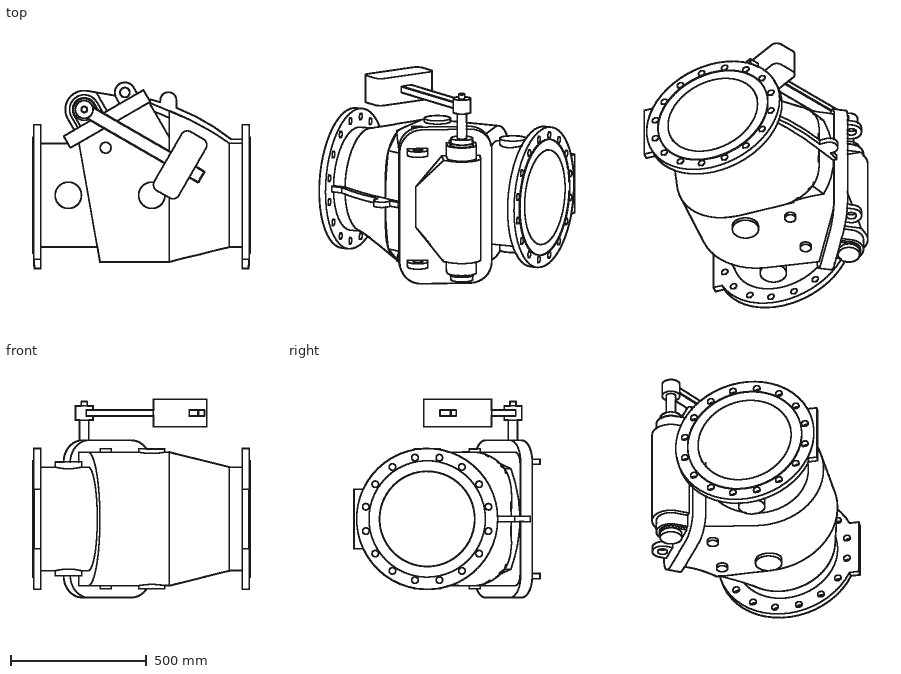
import cadquery as cq
import math

LENGTH = 800.0
BORE_D = 350.0
PIPE_R = 382.0 / 2

FLANGE_D = 520.0
RAISED_FACE_D = 429.0
RAISED_FACE_T = 3.0
FLANGE_BACK = 29.0
BOLT_COUNT = 16
BOLT_CIRCLE_D = 460.0
BOLT_HOLE_D = 24.0
FOOT_BOTTOM = -270.0
FOOT_FRONT = 5.0
FOOT_HALF_WIDTH = 110.0

BODY_R = 246.0
BODY_END_X = 503.0
REDUCER_END_X = 724.0
REDUCER_END_R = PIPE_R + 0.5
FACE_TILT = 10.0
FACE_AXIS_X = 203.5
BODY_TOP = 420.0

SHAFT_X = 189.0
SHAFT_Y = 316.0
COVER_TILT = 30.0

COVER_LENGTH = 340.0
COVER_HEIGHT = 580.0
COVER_CORNER_R = 80.0
COVER_U = 55.0
COVER_FACE_V = -47.0
PLATE_T = 25.0
NECK_TOP_V = COVER_FACE_V - 2 * PLATE_T

NECK_RIGHT_U = 220.0
NECK_LEFT_U = -200.0
NECK_CORNER_R = 38.0
NECK_BLEND_V = -155.0
NECK_BLEND_END_V = -253.0
NECK_BLEND = ((0.0, 1.0), (0.5, 25.0), (1.0, NECK_CORNER_R))
NECK_BOTTOM_V = -480.0

ROOF_START_X = 420.0
ROOF_START_TOP = 345.0
ROOF_TOP = 310.0
ROOF_EDGE_DROP = 25.0
ROOF_EDGE_Z = 185.0
ROOF_SIDE_TOP = 202.0
ROOF_BULGE = 9.0
ROOF_SHOULDER = [(110.0, 246.0), (205.0, 241.0), (285.0, 185.0)]

RIB_T = 20.0
RIB_START = (430.0, 354.0)
RIB_MID = (600.0, 290.5)
RIB_END = (730.0, 207.0)
LUG_X = 499.0
LUG_R = 30.0
LUG_TOP = 380.0

HOUSING_STEPS = ((70.0, 191.0), (54.0, 240.5), (43.0, 249.0))
HOUSING_SLOPE = 11.0
HOUSING_END_U = 166.0
HOUSING_BEVEL = 50.0
GLAND_D = 80.0
GLAND_HALF_HEIGHT = 266.5

EYE_R = 37.5
EYE_HOLE_D = 35.0
EYE_U = 161.0
EYE_V = -20.6
EYE_T = 20.0
EYE_Z = 210.5

PAD_D = 97.0
PAD_PLACES = ((130.5, 0.0, 210.0), (438.0, 0.0, 258.0))
BOSS_D = 40.0
BOSS_PLACES = ((268.0, 175.0, 258.0), (438.0, 175.0, 258.0))

SHAFT_D = 35.0
HUB_D = 65.0
PIN_D = 23.0
PIN_TOP = 433.0
PIN_CHAMFER = 1.5
LEVER_Z = 390.0
HUB_HEIGHT = 52.0
ARM_ANGLE = -30.0
ARM_LENGTH = 499.0
ARM_WIDTH = 48.0
ARM_T = 25.0
ARM_CHAMFER = 2.0
WEIGHT_CENTRE = 408.0
WEIGHT_WIDTH = 104.0
WEIGHT_LENGTH = 250.0
WEIGHT_HEIGHT = 102.0
WEIGHT_CORNER_R = 25.0


def shaft_frame(angle, z=0.0):
    """Workplane on the shaft axis, parallel to XY and turned about Z."""
    turn = math.radians(angle)
    direction = (math.cos(turn), math.sin(turn), 0)
    return cq.Workplane(cq.Plane((SHAFT_X, SHAFT_Y, z), direction, (0, 0, 1)))


def cover_frame(v):
    """Workplane parallel to the cover at height v: local x along the cover, local y along -Z."""
    turn = math.radians(COVER_TILT)
    along = (math.cos(turn), math.sin(turn), 0)
    outward = (-math.sin(turn), math.cos(turn), 0)
    origin = (SHAFT_X + v * outward[0], SHAFT_Y + v * outward[1], 0)
    return cq.Workplane(cq.Plane(origin, along, outward))


def x_cylinder(radius, start, end):
    return cq.Workplane("YZ", origin=(start, 0, 0)).circle(radius).extrude(end - start)


def z_cylinder(x, y, diameter, bottom, top):
    return cq.Workplane("XY", origin=(x, y, bottom)).circle(diameter / 2).extrude(top - bottom)


def make_flange():
    """Inlet flange with its raised face, bolt holes and foot."""
    flange = x_cylinder(FLANGE_D / 2, RAISED_FACE_T, FLANGE_BACK)
    flange = flange.union(x_cylinder(RAISED_FACE_D / 2, 0, FLANGE_BACK))
    foot = cq.Workplane("XY").box(
        FLANGE_BACK - FOOT_FRONT, -FOOT_BOTTOM - BORE_D / 2, 2 * FOOT_HALF_WIDTH, centered=(False, False, True)
    )
    flange = flange.union(foot.translate((FOOT_FRONT, FOOT_BOTTOM, 0)))
    holes = (
        cq.Workplane("YZ")
        .polarArray(BOLT_CIRCLE_D / 2, 180 / BOLT_COUNT, 360, BOLT_COUNT)
        .circle(BOLT_HOLE_D / 2)
        .extrude(FLANGE_BACK)
    )
    return flange.cut(holes)


def make_neck():
    """Block under the cover whose rounded right-hand edges fade out towards the body."""
    width = NECK_RIGHT_U - NECK_LEFT_U
    middle = (NECK_RIGHT_U + NECK_LEFT_U) / 2

    def section(corner_r):
        outline = cq.Sketch().rect(width, 2 * BODY_R).vertices().fillet(corner_r)
        return outline.moved(cq.Location((middle, 0, 0)))

    blend_depth = NECK_BLEND_V - NECK_BLEND_END_V
    upper = cover_frame(NECK_BLEND_V).placeSketch(section(NECK_CORNER_R)).extrude(NECK_TOP_V - NECK_BLEND_V)
    blend_sections = [
        section(radius).moved(cq.Location((0, 0, fraction * blend_depth))) for fraction, radius in NECK_BLEND
    ]
    blend = cover_frame(NECK_BLEND_END_V).placeSketch(*blend_sections).loft()
    lower = (
        cover_frame(NECK_BOTTOM_V)
        .center(middle, 0)
        .rect(width, 2 * BODY_R)
        .extrude(NECK_BLEND_END_V - NECK_BOTTOM_V)
    )
    return upper.union(blend).union(lower)


def make_chamber():
    """Round body below the axis, flat-sided neck above it, closed by the tilted inlet face."""
    lean = math.tan(math.radians(FACE_TILT))
    outline = (
        cq.Workplane("XY", origin=(0, 0, -BODY_R))
        .polyline(
            [
                (FACE_AXIS_X + BODY_R * lean, -BODY_R),
                (BODY_END_X, -BODY_R),
                (BODY_END_X, BODY_TOP),
                (FACE_AXIS_X - BODY_TOP * lean, BODY_TOP),
            ]
        )
        .close()
        .extrude(2 * BODY_R)
    )
    above_axis = cq.Workplane("XY").box(LENGTH, BODY_TOP, 2 * BODY_R, centered=(False, False, True))
    return outline.intersect(x_cylinder(BODY_R, 0, BODY_END_X).union(make_neck().intersect(above_axis)))


def straight_roof_section(x, top):
    """Closed half-section at x: flat sides, sloping shoulders and an arched top."""
    edge_y = top - ROOF_EDGE_DROP
    return (
        cq.Workplane("YZ", origin=(x, 0, 0))
        .moveTo(0, -BODY_R)
        .lineTo(ROOF_SIDE_TOP, -BODY_R)
        .lineTo(edge_y, -ROOF_EDGE_Z)
        .threePointArc((top, 0), (edge_y, ROOF_EDGE_Z))
        .lineTo(ROOF_SIDE_TOP, BODY_R)
        .lineTo(0, BODY_R)
        .close()
        .wires()
        .val()
    )


def make_roof():
    """Straight roof under the cover, above the rounded edges of the neck."""
    neck_end = straight_roof_section(ROOF_START_X, ROOF_START_TOP)
    body_end = straight_roof_section(BODY_END_X, ROOF_TOP)
    return cq.Workplane(cq.Solid.makeLoft([neck_end, body_end], True))


def smooth_section(x, points):
    """Closed smooth section at x through (height, half width) points and their mirror."""
    bottom, *side, top = points
    loop = [bottom] + side + [top] + [(y, -z) for y, z in reversed(side)]
    return cq.Workplane("YZ", origin=(x, 0, 0)).spline(loop, periodic=True).wire().val()


def circle_points(radius, first_angle, last_angle, count):
    """Points (height, half width) on a circle, angles in degrees above the horizontal."""
    step = (last_angle - first_angle) / (count - 1)
    angles = [math.radians(first_angle + i * step) for i in range(count)]
    return [(radius * math.sin(a), radius * math.cos(a)) for a in angles]


def make_reducer():
    """Narrowing part from the body, round below and boxy above, to the round outlet pipe."""
    upper_large = ROOF_SHOULDER + [(ROOF_TOP, 0)]
    upper_count = len(upper_large) + 1
    large = circle_points(BODY_R, -90, 0, upper_count) + upper_large
    small = circle_points(REDUCER_END_R, -90, 90, len(large))
    halfway = []
    for big, little in zip(large, small):
        bulge = ROOF_BULGE * max(little[0] / REDUCER_END_R, 0) ** 2
        halfway.append(((big[0] + little[0]) / 2 + bulge, (big[1] + little[1]) / 2))
    sections = [
        smooth_section(BODY_END_X, large),
        smooth_section((BODY_END_X + REDUCER_END_X) / 2, halfway),
        smooth_section(REDUCER_END_X, small),
    ]
    return cq.Workplane(cq.Solid.makeLoft(sections))


def make_rib():
    """Curved rib along the roof with the round-topped lifting lug."""
    rib = (
        cq.Workplane("XY", origin=(0, 0, -RIB_T / 2))
        .moveTo(RIB_START[0], 0)
        .lineTo(*RIB_START)
        .threePointArc(RIB_MID, RIB_END)
        .lineTo(LENGTH - FLANGE_BACK, RIB_END[1])
        .lineTo(LENGTH - FLANGE_BACK, 0)
        .close()
        .extrude(RIB_T)
    )
    lug_centre_y = LUG_TOP - LUG_R
    lug = (
        cq.Workplane("XY", origin=(0, 0, -RIB_T / 2))
        .moveTo(LUG_X - LUG_R, 0)
        .lineTo(LUG_X - LUG_R, lug_centre_y)
        .threePointArc((LUG_X, LUG_TOP), (LUG_X + LUG_R, lug_centre_y))
        .lineTo(LUG_X + LUG_R, 0)
        .close()
        .extrude(RIB_T)
    )
    return rib.union(lug)


def make_cover_plates():
    """Body flange and cover plate lying on each other."""
    section = cq.Sketch().rect(COVER_LENGTH, COVER_HEIGHT).vertices().fillet(COVER_CORNER_R)
    section = section.moved(cq.Location((COVER_U, 0, 0)))
    flange = cover_frame(NECK_TOP_V).placeSketch(section).extrude(PLATE_T)
    cover = cover_frame(NECK_TOP_V + PLATE_T).placeSketch(section).extrude(PLATE_T)
    return flange.union(cover, clean=False)


def make_shoulder():
    """Part of the housing that slopes down along the cover, bevelled at both ends."""
    radius, half_height = HOUSING_STEPS[0]
    tangent = math.radians(90 - COVER_TILT - HOUSING_SLOPE)
    outline = (
        shaft_frame(COVER_TILT, -half_height)
        .moveTo(0, COVER_FACE_V)
        .lineTo(0, 0)
        .lineTo(radius * math.cos(tangent), radius * math.sin(tangent))
        .lineTo(HOUSING_END_U, COVER_FACE_V)
        .close()
        .extrude(2 * half_height)
    )
    end_half_height = half_height - (HOUSING_END_U - radius) * math.tan(math.radians(HOUSING_BEVEL))
    bevel = (
        cover_frame(COVER_FACE_V)
        .polyline(
            [
                (0, -half_height),
                (radius, -half_height),
                (HOUSING_END_U, -end_half_height),
                (HOUSING_END_U, end_half_height),
                (radius, half_height),
                (0, half_height),
            ]
        )
        .close()
        .extrude(2 * radius - COVER_FACE_V)
    )
    return outline.intersect(bevel)


def make_housing():
    """Stepped round-backed housing of the shaft, with a bevelled shoulder along the cover."""
    housing = cq.Workplane("XY")
    for radius, half_height in HOUSING_STEPS:
        step = (
            shaft_frame(COVER_TILT, -half_height)
            .moveTo(-radius, COVER_FACE_V)
            .lineTo(-radius, 0)
            .threePointArc((0, radius), (radius, 0))
            .lineTo(radius, COVER_FACE_V)
            .close()
            .extrude(2 * half_height)
        )
        housing = housing.union(step)
    return housing.union(make_shoulder())


def make_eye(z):
    """Lifting eye standing on the cover."""
    eye = (
        shaft_frame(COVER_TILT, z - EYE_T / 2)
        .moveTo(EYE_U - EYE_R, COVER_FACE_V)
        .lineTo(EYE_U - EYE_R, EYE_V)
        .threePointArc((EYE_U, EYE_V + EYE_R), (EYE_U + EYE_R, EYE_V))
        .lineTo(EYE_U + EYE_R, COVER_FACE_V)
        .close()
        .extrude(EYE_T)
    )
    hole = shaft_frame(COVER_TILT, z - EYE_T / 2).center(EYE_U, EYE_V).circle(EYE_HOLE_D / 2).extrude(EYE_T)
    return eye.cut(hole)


def make_lever():
    """Shaft end with hub, arm and counterweight."""
    hub_bottom = LEVER_Z - HUB_HEIGHT / 2
    hub_top = LEVER_Z + HUB_HEIGHT / 2
    shaft = z_cylinder(SHAFT_X, SHAFT_Y, SHAFT_D, 0, hub_top)
    hub = z_cylinder(SHAFT_X, SHAFT_Y, HUB_D, hub_bottom, hub_top)
    pin = z_cylinder(SHAFT_X, SHAFT_Y, PIN_D, hub_bottom, PIN_TOP).faces(">Z").chamfer(PIN_CHAMFER)
    arm = (
        shaft_frame(ARM_ANGLE, LEVER_Z)
        .box(ARM_LENGTH, ARM_WIDTH, ARM_T, centered=(False, True, True))
        .edges()
        .chamfer(ARM_CHAMFER)
    )
    weight = (
        shaft_frame(ARM_ANGLE, LEVER_Z)
        .center(WEIGHT_CENTRE, 0)
        .box(WEIGHT_WIDTH, WEIGHT_LENGTH, WEIGHT_HEIGHT)
        .edges("|Z")
        .fillet(WEIGHT_CORNER_R)
    )
    return shaft.union(hub).union(pin).union(arm).union(weight)


def make_valve():
    """Whole valve: pipe, flanges, body, cover, housing and lever."""
    inlet_flange = make_flange()
    outlet_flange = inlet_flange.mirror("YZ").translate((LENGTH, 0, 0))
    valve = x_cylinder(PIPE_R, 0, LENGTH).union(inlet_flange).union(outlet_flange)
    for part in (make_chamber(), make_roof(), make_reducer(), make_rib()):
        valve = valve.union(part)
    for x, y, height in PAD_PLACES:
        valve = valve.union(z_cylinder(x, y, PAD_D, -height, height))
    for x, y, height in BOSS_PLACES:
        valve = valve.union(z_cylinder(x, y, BOSS_D, -height, height))
    valve = valve.cut(x_cylinder(BORE_D / 2, 0, LENGTH))
    gland = z_cylinder(SHAFT_X, SHAFT_Y, GLAND_D, -GLAND_HALF_HEIGHT, GLAND_HALF_HEIGHT)
    valve = valve.union(make_cover_plates(), clean=False).union(make_housing(), clean=False)
    valve = valve.union(gland, clean=False)
    for z in (-EYE_Z, EYE_Z):
        valve = valve.union(make_eye(z), clean=False)
    return valve.union(make_lever(), clean=False)


result = make_valve()